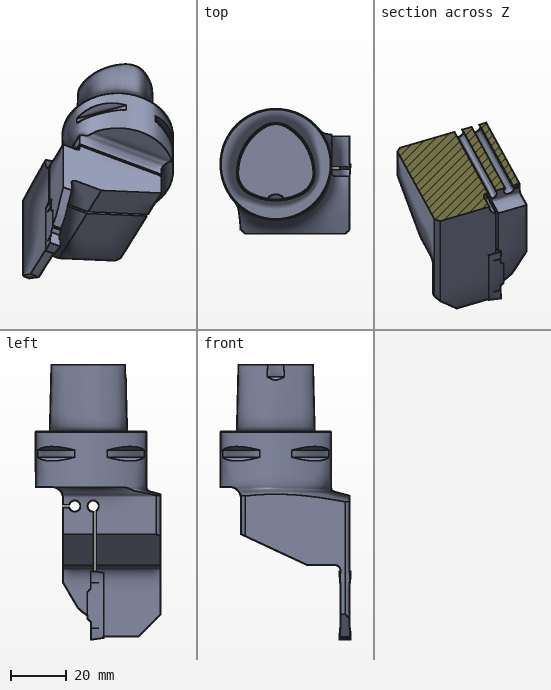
import cadquery as cq
import math


shank_length = 24.0
shank_radius = 14.1
lobe_height = 0.9
lobe_radius = 8.5
taper_slope = 0.025
taper_angle = math.degrees(math.atan(taper_slope))

notch_radius = 3.6
notch_center_y = -14.4
notch_depth = 4.4
notch_tip_depth = 2.2

collar_radius = 20.0
collar_height = 20.1
collar_chamfer = 0.3

groove_count = 4
groove_floor_distance = 17.6
groove_floor_height = 2.5
groove_floor_top = 6.8
groove_flank_angle = 30

head_left = -12.6
head_right = 26.6
head_front = -25.0
head_back = 10.1
head_bottom = -48.2
flare_radius = 4.0
cone_rim_z = -21.3
cone_angle = 15
neck_fillet = 1.5
envelope_radius = 49.5
corner_chamfer = 1.6
slope_start_z = -37.0
slope_end_x = 11.4

blade_thickness = 3.4
blade_left = head_right - blade_thickness
blade_root_fillet = 1.9
blade_bottom = -74.0
blade_front_bevel = 8.0

jaw_heel = (head_back, -54.45)
jaw_knee = (4.8, -63.6)
jaw_nose = (3.3, -64.9)
jaw_tip_z = -66.4

insert_top = -50.3
insert_bottom = shank_length - 99
insert_middle_z = (insert_top + insert_bottom) / 2
insert_seat_y = -4.6
insert_bulge_y = 1.3
insert_end_slope = 0.6
insert_shoulder = 6.2
cutting_length = 4.2
cutting_inner_y = -2.7
cutting_overhang = 0.4

relief_radius = 2.0
relief_z = -26.9
relief_back_y = 5.8
relief_front_y = -0.8
slit_width = 0.9
clamp_slit_y = -1.4

pocket_left = 20.1
pocket_front = -4.3
pocket_floor = -30.2
pocket_side_fillet = 1.2
pocket_front_fillet = 4.2


def box(x_start, x_end, y_start, y_end, z_start, z_end):
    size = (x_end - x_start, y_end - y_start, z_end - z_start)
    return cq.Workplane("XY").box(*size, centered=False).translate((x_start, y_start, z_start))


def polar(radius, angle):
    return (radius * math.cos(math.radians(angle)), radius * math.sin(math.radians(angle)))


def make_shank():
    """Tapered polygon shank whose section is six tangent arcs: three lobes and three flanks."""
    tip = shank_radius + lobe_height
    flat = shank_radius - lobe_height
    lobe_center = tip - lobe_radius
    gap = flat - lobe_radius
    flank_center = (lobe_center**2 - gap**2) / (2 * gap - lobe_center)
    run = lobe_center + flank_center / 2
    rise = flank_center * math.sin(math.radians(60))
    direction = math.atan2(rise, run)
    meet_x = lobe_center + lobe_radius * math.cos(direction)
    meet_y = lobe_radius * math.sin(direction)
    meet_radius = math.hypot(meet_x, meet_y)
    meet_angle = math.degrees(math.atan2(meet_y, meet_x))

    section = cq.Workplane("XY").moveTo(*polar(meet_radius, 90 - meet_angle))
    for lobe_angle in (90, 210, 330):
        lobe_end = polar(meet_radius, lobe_angle + meet_angle)
        flank_end = polar(meet_radius, lobe_angle + 120 - meet_angle)
        section = section.threePointArc(polar(tip, lobe_angle), lobe_end)
        section = section.threePointArc(polar(flat, lobe_angle + 60), flank_end)
    shank = section.close().extrude(shank_length, taper=taper_angle)

    notch = (
        cq.Workplane("XZ")
        .lineTo(notch_radius, 0)
        .lineTo(notch_radius, -notch_depth)
        .lineTo(0, -notch_depth - notch_tip_depth)
        .close()
        .revolve(360, (0, 0, 0), (0, 1, 0))
        .translate((0, notch_center_y, shank_length))
    )
    return shank.cut(notch)


def make_collar():
    """Round collar with trapezoidal gripper grooves on its diagonals."""
    collar = cq.Workplane("XY").circle(collar_radius).extrude(-collar_height)
    collar = collar.faces(">Z").chamfer(collar_chamfer)
    reach = collar_radius - groove_floor_distance
    floor_half = groove_floor_height / 2
    mouth_half = floor_half + reach * math.tan(math.radians(groove_flank_angle))
    groove = (
        cq.Workplane("XZ")
        .moveTo(groove_floor_distance, -floor_half)
        .lineTo(groove_floor_distance, floor_half)
        .lineTo(collar_radius, mouth_half)
        .lineTo(collar_radius, -mouth_half)
        .close()
        .extrude(collar_radius, both=True)
        .translate((0, 0, -groove_floor_top - floor_half))
    )
    for index in range(groove_count):
        angle = (index + 0.5) * 360 / groove_count
        collar = collar.cut(groove.rotate((0, 0, 0), (0, 0, 1), angle))
    return collar


def make_side_prism():
    """Head and blade outline in XZ, swept along Y; flares out under the collar on the left."""
    return (
        cq.Workplane("XZ")
        .moveTo(head_left - flare_radius, -collar_height)
        .radiusArc((head_left, -collar_height - flare_radius), flare_radius)
        .lineTo(head_left, slope_start_z)
        .lineTo(slope_end_x, head_bottom)
        .lineTo(blade_left - blade_root_fillet, head_bottom)
        .radiusArc((blade_left, head_bottom - blade_root_fillet), blade_root_fillet)
        .lineTo(blade_left, insert_bottom)
        .lineTo(head_right, insert_bottom)
        .lineTo(head_right, -collar_height)
        .close()
        .extrude(envelope_radius, both=True)
    )


def make_profile_prism():
    """Head, jaw and blade outline in YZ, swept along X; flares out under the collar at the back."""
    return (
        cq.Workplane("YZ")
        .moveTo(head_back + flare_radius, -collar_height)
        .radiusArc((head_back, -collar_height - flare_radius), -flare_radius)
        .lineTo(*jaw_heel)
        .lineTo(*jaw_knee)
        .lineTo(*jaw_nose)
        .lineTo(insert_bulge_y, jaw_tip_z)
        .lineTo(insert_seat_y, jaw_tip_z)
        .lineTo(insert_seat_y, blade_bottom)
        .lineTo(head_front + blade_front_bevel, blade_bottom)
        .lineTo(head_front, blade_bottom + blade_front_bevel)
        .lineTo(head_front, -collar_height)
        .close()
        .extrude(envelope_radius, both=True)
    )


def make_cone_envelope():
    """Space under the sloping conical top, with the fillet that leads up to the collar."""
    outer_z = cone_rim_z - (envelope_radius - collar_radius) * math.tan(math.radians(cone_angle))
    envelope = (
        cq.Workplane("XZ")
        .lineTo(collar_radius, 0)
        .lineTo(collar_radius, cone_rim_z)
        .lineTo(envelope_radius, outer_z)
        .lineTo(envelope_radius, insert_bottom)
        .lineTo(0, insert_bottom)
        .close()
        .revolve(360, (0, 0, 0), (0, 1, 0))
    )
    rim = cq.selectors.BoxSelector(
        (-envelope_radius, -envelope_radius, cone_rim_z - neck_fillet),
        (envelope_radius, envelope_radius, cone_rim_z + neck_fillet),
    )
    return envelope.edges(rim).fillet(neck_fillet)


def make_corner_chamfers():
    """Wedges that bevel the two vertical front corners of the head."""
    wedges = cq.Workplane("XY")
    for corner_x in (head_left, head_right):
        wedge = (
            cq.Workplane("XY")
            .rect(math.sqrt(2) * corner_chamfer, math.sqrt(2) * corner_chamfer)
            .extrude(insert_bottom)
            .rotate((0, 0, 0), (0, 0, 1), 45)
            .translate((corner_x, head_front, 0))
        )
        wedges = wedges.add(wedge)
    return wedges.combine()


def make_clamp_pocket():
    """Open pocket that thins the head above the jaw, with rounded floor edges."""
    pocket = box(pocket_left, envelope_radius, pocket_front, envelope_radius, pocket_floor, 0)
    pocket = pocket.faces("<Z").edges("<Y").fillet(pocket_front_fillet)
    return pocket.faces("<Z").edges("<X").fillet(pocket_side_fillet)


def make_slits():
    """Two relief holes, one slit to the back face and one slit down to the insert."""
    span = envelope_radius
    holes = (
        cq.Workplane("YZ")
        .pushPoints([(relief_back_y, relief_z), (relief_front_y, relief_z)])
        .circle(relief_radius)
        .extrude(span, both=True)
    )
    half = slit_width / 2
    back_slit = box(-span, span, relief_back_y, span, relief_z - half, relief_z + half)
    clamp_slit = box(-span, span, clamp_slit_y - half, clamp_slit_y + half, insert_middle_z, relief_z)
    return holes.union(back_slit).union(clamp_slit)


def make_insert_bar():
    """Insert outline in YZ at blade thickness, symmetrical about its middle height."""
    lower_end = [
        (insert_bulge_y, insert_bottom + insert_shoulder + insert_bulge_y),
        (0, insert_bottom + insert_shoulder),
        (0, insert_bottom),
        (insert_seat_y, insert_bottom + insert_end_slope),
    ]
    upper_end = [(y, 2 * insert_middle_z - z) for y, z in reversed(lower_end)]
    outline = cq.Workplane("YZ", origin=(blade_left, 0, 0)).polyline(lower_end + upper_end)
    return outline.close().extrude(blade_thickness)


def cutting_section(y, bottom_z, bottom_overhang, top_overhang):
    """Closed trapezoid wire across the lower cutting end at the given Y."""
    top_z = insert_bottom + cutting_length
    corners = [
        (blade_left - bottom_overhang, y, bottom_z),
        (head_right + bottom_overhang, y, bottom_z),
        (head_right + top_overhang, y, top_z),
        (blade_left - top_overhang, y, top_z),
    ]
    return cq.Wire.makePolygon([cq.Vector(*corner) for corner in corners], close=True)


def make_insert():
    """Double-ended insert; each end is widest at its cutting edge and tapers into the blade faces."""
    side_clearance = cutting_overhang / abs(insert_seat_y)
    top_overhang = side_clearance * abs(cutting_inner_y)
    front = cutting_section(0, insert_bottom, cutting_overhang, top_overhang)
    back = cutting_section(
        insert_seat_y, insert_bottom + insert_end_slope, 0, top_overhang - cutting_overhang
    )
    lower_end = cq.Workplane(cq.Solid.makeLoft([front, back], True))
    upper_end = lower_end.mirror("XY", (0, 0, insert_middle_z))
    return make_insert_bar().union(lower_end).union(upper_end)


def make_holder():
    """Shank, collar, head and blade in one piece, with the seat for the insert cut out."""
    head = make_side_prism().intersect(make_profile_prism()).intersect(make_cone_envelope())
    head = head.cut(make_corner_chamfers()).cut(make_clamp_pocket()).cut(make_slits())
    head = head.cut(make_insert_bar())
    return make_shank().union(make_collar()).union(head)


holder = make_holder()
insert = make_insert()

result = cq.Compound.makeCompound([holder.solids().val(), insert.solids().val()])